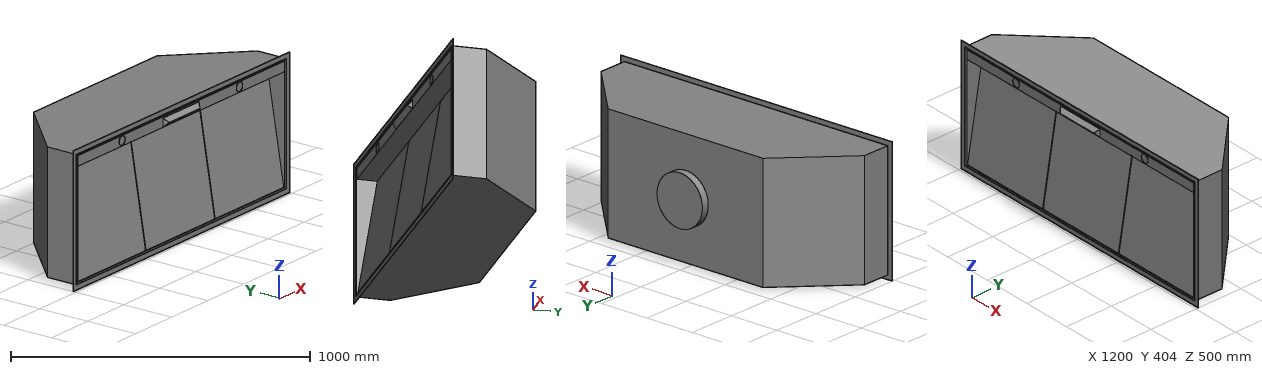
import cadquery as cq


FLANGE_WIDTH = 1200.0
FLANGE_HEIGHT = 500.0
FLANGE_THICKNESS = 2.0
FLANGE_BORDER = 19.0

SHELL_WIDTH = 1164.0
SHELL_HEIGHT = 465.0
SHELL_DEPTH = 360.0
SIDE_DEPTH = 120.0
BACK_WIDTH = 684.0

DUCT_DIAMETER = 200.0
DUCT_LENGTH = 30.0

OPENING_WIDTH = 1146.0
OPENING_HEIGHT = 450.0
STRIP_HEIGHT = 38.0
STRIP_SETBACK = 1.0

LAMP_DIAMETER = 34.0
LAMP_SPACING = 650.0
LAMP_DEPTH = 1.0

STRIP_TOP = OPENING_HEIGHT / 2
STRIP_BOTTOM = STRIP_TOP - STRIP_HEIGHT
STRIP_MIDDLE = (STRIP_TOP + STRIP_BOTTOM) / 2

RIDGE_LENGTH = 202.0
RIDGE_RISE = 15.0
RIDGE_HEIGHT = 2 * RIDGE_RISE
RIDGE_GAP = 1.0
RIDGE_CENTER_Z = STRIP_BOTTOM + RIDGE_GAP + RIDGE_RISE

FILTER_COUNT = 3
FILTER_GAP = 4.0
FILTER_THICKNESS = 10.0
FILTER_BOTTOM_SETBACK = 4.0
FILTER_TOP_SETBACK = 72.0
FILTER_BOTTOM = -OPENING_HEIGHT / 2
FILTER_PITCH = (OPENING_WIDTH + FILTER_GAP) / FILTER_COUNT
FILTER_WIDTH = FILTER_PITCH - FILTER_GAP


def block(width, height, y_front, y_back):
    """Box centred on X and Z between two Y planes."""
    return cq.Workplane("XY").box(width, y_back - y_front, height).translate((0, (y_front + y_back) / 2, 0))


def side_profile(points, width):
    """Extrude a (y, z) outline along X, centred on x = 0."""
    return cq.Workplane("YZ").polyline(points).close().extrude(width / 2, both=True)


def make_shell():
    outline = [
        (-SHELL_WIDTH / 2, 0),
        (SHELL_WIDTH / 2, 0),
        (SHELL_WIDTH / 2, SIDE_DEPTH),
        (BACK_WIDTH / 2, SHELL_DEPTH),
        (-BACK_WIDTH / 2, SHELL_DEPTH),
        (-SHELL_WIDTH / 2, SIDE_DEPTH),
    ]
    return cq.Workplane("XY").polyline(outline).close().extrude(SHELL_HEIGHT / 2, both=True)


def make_flange():
    plate = block(FLANGE_WIDTH, FLANGE_HEIGHT, -FLANGE_THICKNESS, 0)
    window = block(
        FLANGE_WIDTH - 2 * FLANGE_BORDER,
        FLANGE_HEIGHT - 2 * FLANGE_BORDER,
        -FLANGE_THICKNESS,
        0,
    )
    return plate.cut(window)


def make_duct():
    return cq.Workplane("XZ", origin=(0, SHELL_DEPTH, 0)).circle(DUCT_DIAMETER / 2).extrude(-DUCT_LENGTH)


def make_filter_recess():
    """Space in front of and behind the filter faces, below the lamp strip."""
    return side_profile(
        [
            (0, FILTER_BOTTOM),
            (FILTER_BOTTOM_SETBACK + FILTER_THICKNESS, FILTER_BOTTOM),
            (FILTER_TOP_SETBACK + FILTER_THICKNESS, STRIP_BOTTOM),
            (0, STRIP_BOTTOM),
        ],
        OPENING_WIDTH,
    )


def make_lamp_recesses():
    return (
        cq.Workplane("XZ", origin=(0, STRIP_SETBACK, STRIP_MIDDLE))
        .pushPoints([(-LAMP_SPACING / 2, 0), (LAMP_SPACING / 2, 0)])
        .circle(LAMP_DIAMETER / 2)
        .extrude(-LAMP_DEPTH)
    )


def make_ridge():
    """Control ridge: a triangular prism with both ends sloped back."""
    prism = side_profile(
        [
            (STRIP_SETBACK, RIDGE_CENTER_Z - RIDGE_RISE),
            (STRIP_SETBACK - RIDGE_RISE, RIDGE_CENTER_Z),
            (STRIP_SETBACK, RIDGE_CENTER_Z + RIDGE_RISE),
        ],
        RIDGE_LENGTH,
    )
    plan = [
        (-RIDGE_LENGTH / 2, STRIP_SETBACK),
        (-RIDGE_LENGTH / 2 + RIDGE_RISE, STRIP_SETBACK - RIDGE_RISE),
        (RIDGE_LENGTH / 2 - RIDGE_RISE, STRIP_SETBACK - RIDGE_RISE),
        (RIDGE_LENGTH / 2, STRIP_SETBACK),
    ]
    envelope = (
        cq.Workplane("XY", origin=(0, 0, RIDGE_CENTER_Z))
        .polyline(plan)
        .close()
        .extrude(RIDGE_HEIGHT / 2, both=True)
    )
    return prism.intersect(envelope)


def make_housing():
    opening = block(OPENING_WIDTH, OPENING_HEIGHT, 0, STRIP_SETBACK)
    housing = make_shell().union(make_flange()).union(make_duct())
    housing = housing.cut(opening).cut(make_filter_recess()).cut(make_lamp_recesses())
    return housing.union(make_ridge())


def make_filter(index):
    center_x = (index - (FILTER_COUNT - 1) / 2) * FILTER_PITCH
    panel = side_profile(
        [
            (FILTER_BOTTOM_SETBACK, FILTER_BOTTOM),
            (FILTER_BOTTOM_SETBACK + FILTER_THICKNESS, FILTER_BOTTOM),
            (FILTER_TOP_SETBACK + FILTER_THICKNESS, STRIP_BOTTOM),
            (FILTER_TOP_SETBACK, STRIP_BOTTOM),
        ],
        FILTER_WIDTH,
    )
    return panel.translate((center_x, 0, 0))


housing = make_housing()
filters = [make_filter(index) for index in range(FILTER_COUNT)]

result = cq.Compound.makeCompound([housing.val(), *[panel.val() for panel in filters]])